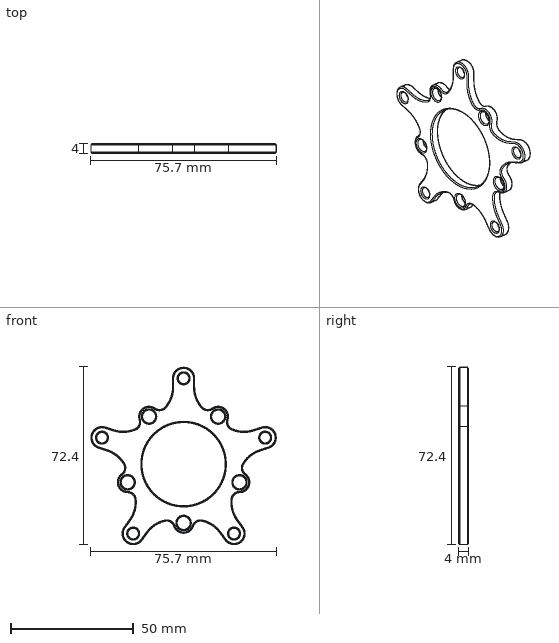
import cadquery as cq
import math

overall_width = 75.65
thickness = 4.0
edge_chamfer = 0.5
bore_diameter = 34.0

arm_count = 5
arm_half_width = 4.55
arm_hole_diameter = 4.3
flank_radius = 12.1
flank_start = 31.3

lobe_circle_radius = 24.0
lobe_radius = 4.2
lobe_hole_diameter = 5.3
valley_radius = 3.0

pitch_angle = 360.0 / arm_count
arm_circle_radius = (overall_width / 2 - arm_half_width) / math.sin(math.radians(pitch_angle))


def polar(radius, angle):
    """Point at a clockwise angle in degrees from the +Z direction."""
    return (radius * math.sin(math.radians(angle)), radius * math.cos(math.radians(angle)))


def toward(start, target, distance):
    """Point at a given distance from start, on the line toward target."""
    length = math.dist(start, target)
    return tuple(s + (t - s) * distance / length for s, t in zip(start, target))


def circle_crossing(center_a, radius_a, center_b, radius_b):
    """Crossing of two circles, on the right when going from center_a to center_b."""
    gap = math.dist(center_a, center_b)
    along = (radius_a**2 - radius_b**2 + gap**2) / (2 * gap)
    across = math.sqrt(radius_a**2 - along**2)
    ux = (center_b[0] - center_a[0]) / gap
    uy = (center_b[1] - center_a[1]) / gap
    return (center_a[0] + along * ux + across * uy, center_a[1] + along * uy - across * ux)


def arc_middle(center, radius, start, end):
    """Middle of the shorter arc between two points of a circle."""
    chord_middle = ((start[0] + end[0]) / 2, (start[1] + end[1]) / 2)
    return toward(center, chord_middle, radius)


def star_outline():
    """Outline of five arms with a small lobe between each pair."""
    lobe_center = polar(lobe_circle_radius, pitch_angle / 2)
    flank_center = (arm_half_width + flank_radius, flank_start)
    valley_center = circle_crossing(
        flank_center, flank_radius - valley_radius, lobe_center, lobe_radius + valley_radius
    )
    tip_end = (arm_half_width, arm_circle_radius)
    flank_top = (arm_half_width, flank_start)
    flank_end = toward(flank_center, valley_center, flank_radius)
    lobe_start = toward(lobe_center, valley_center, lobe_radius)
    flank_middle = arc_middle(flank_center, flank_radius, flank_top, flank_end)
    valley_middle = arc_middle(valley_center, valley_radius, flank_end, lobe_start)
    lobe_top = polar(lobe_circle_radius + lobe_radius, pitch_angle / 2)
    arm_top = (0, arm_circle_radius + arm_half_width)

    def turned(point, angle):
        """Point turned clockwise about the centre."""
        s, c = polar(1, angle)
        return (point[0] * c + point[1] * s, point[1] * c - point[0] * s)

    def mirrored(point):
        return (-point[0], point[1])

    outline = cq.Workplane("XZ").moveTo(*mirrored(tip_end))
    for index in range(arm_count):
        here = index * pitch_angle
        following = here + pitch_angle
        outline = (
            outline
            .threePointArc(turned(arm_top, here), turned(tip_end, here))
            .lineTo(*turned(flank_top, here))
            .threePointArc(turned(flank_middle, here), turned(flank_end, here))
            .threePointArc(turned(valley_middle, here), turned(lobe_start, here))
            .threePointArc(turned(lobe_top, here), turned(mirrored(lobe_start), following))
            .threePointArc(
                turned(mirrored(valley_middle), following), turned(mirrored(flank_end), following)
            )
            .threePointArc(
                turned(mirrored(flank_middle), following), turned(mirrored(flank_top), following)
            )
        )
        if index < arm_count - 1:
            outline = outline.lineTo(*turned(mirrored(tip_end), following))
    return outline.close()


def through_holes(points, diameter):
    """Cylinders through the full thickness."""
    return cq.Workplane("XZ").pushPoints(points).circle(diameter / 2).extrude(thickness / 2, both=True)


arm_points = [polar(arm_circle_radius, i * pitch_angle) for i in range(arm_count)]
lobe_points = [polar(lobe_circle_radius, (i + 0.5) * pitch_angle) for i in range(arm_count)]

plate = star_outline().extrude(thickness / 2, both=True)
plate = plate.cut(through_holes([(0, 0)], bore_diameter))
plate = plate.cut(through_holes(arm_points, arm_hole_diameter))
plate = plate.cut(through_holes(lobe_points, lobe_hole_diameter))

result = plate.faces("<Y or >Y").edges().chamfer(edge_chamfer)